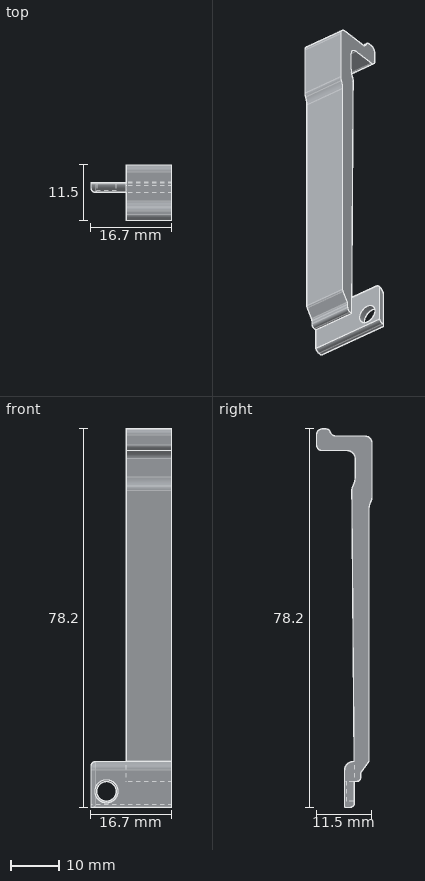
import cadquery as cq
import math

total_width = 16.7
total_height = 78.2

strip_width = 9.4
strip_left = total_width - strip_width
back_y = 3.75
hook_tip_y = -7.75
wall_front_y = 0.2
arm_top_z = 76.75
arm_bottom_z = 73.7
lip_flat_start = 1.25
lip_flat_end = 1.95
lip_convex_radius = 0.9
lip_concave_radius = 1.25
tip_radius = 1.2
outer_corner_radius = 1.5
inner_corner_radius = 1.65

front_jog = 0.7
back_jog = 0.6
jog_large_radius = 4.0
jog_small_radius = 1.95
front_jog_top_z = 68.3
back_jog_top_z = 64.15

strip_back_y = back_y - back_jog
taper_top_z = 9.55
taper_bottom_z = 7.2
tongue_back_y = 1.4
tongue_bottom_z = 5.4
tongue_radius = 0.8
strip_foot_z = 9.8

plate_front_y = -1.95
plate_back_y = 0.1
plate_height = 9.55
plate_top_radius = 1.8
plate_end_radius = 0.9
plate_back_rise = 0.6
plate_back_radius = 1.2
plate_bottom_radius = 0.2

hole_diameter = 4.0
hole_x = 3.2
hole_z = 3.4
hole_chamfer = 0.4


def double_bend(first_radius, second_radius, offset):
    """Tangent double arc: lengths along the travel direction and its turning angle."""
    angle = math.acos(1 - offset / (first_radius + second_radius))
    return first_radius * math.sin(angle), second_radius * math.sin(angle), angle


def add_vertical_bend(outline, y, z, jog, first_radius, second_radius, step):
    """Bend from (y, z): step = +1 goes up and shifts by +jog in Y, -1 goes down and shifts by -jog."""
    first_run, second_run, angle = double_bend(first_radius, second_radius, jog)
    first_mid = (
        y + step * first_radius * (1 - math.cos(angle / 2)),
        z + step * first_radius * math.sin(angle / 2),
    )
    joint = (y + step * first_radius * (1 - math.cos(angle)), z + step * first_run)
    end = (y + step * jog, joint[1] + step * second_run)
    second_mid = (
        end[0] - step * second_radius * (1 - math.cos(angle / 2)),
        end[1] - step * second_radius * math.sin(angle / 2),
    )
    return outline.threePointArc(first_mid, joint).threePointArc(second_mid, end)


def make_strip():
    lip_drop = total_height - arm_top_z
    convex_run, concave_run, angle = double_bend(lip_convex_radius, lip_concave_radius, lip_drop)
    lip_y = hook_tip_y + lip_flat_end
    lip_joint = (lip_y + convex_run, total_height - lip_convex_radius * (1 - math.cos(angle)))
    lip_end_y = lip_joint[0] + concave_run
    convex_mid = (
        lip_y + lip_convex_radius * math.sin(angle / 2),
        total_height - lip_convex_radius * (1 - math.cos(angle / 2)),
    )
    concave_mid = (
        lip_end_y - lip_concave_radius * math.sin(angle / 2),
        arm_top_z + lip_concave_radius * (1 - math.cos(angle / 2)),
    )
    front_runs = double_bend(jog_large_radius, jog_small_radius, front_jog)
    front_jog_bottom_z = front_jog_top_z - front_runs[0] - front_runs[1]

    outline = (
        cq.Workplane("YZ", origin=(strip_left, 0, 0))
        .moveTo(hook_tip_y, arm_bottom_z)
        .lineTo(hook_tip_y, total_height - lip_flat_start)
        .radiusArc((hook_tip_y + lip_flat_start, total_height), lip_flat_start)
        .lineTo(lip_y, total_height)
        .threePointArc(convex_mid, lip_joint)
        .threePointArc(concave_mid, (lip_end_y, arm_top_z))
        .lineTo(back_y, arm_top_z)
        .lineTo(back_y, back_jog_top_z)
    )
    outline = add_vertical_bend(
        outline, back_y, back_jog_top_z, back_jog, jog_small_radius, jog_large_radius, -1
    )
    outline = (
        outline.lineTo(strip_back_y, taper_top_z)
        .lineTo(tongue_back_y, taper_bottom_z)
        .lineTo(tongue_back_y, tongue_bottom_z)
        .lineTo(0, tongue_bottom_z)
        .lineTo(0, strip_foot_z)
        .lineTo(wall_front_y - front_jog, front_jog_bottom_z)
    )
    outline = add_vertical_bend(
        outline, wall_front_y - front_jog, front_jog_bottom_z, front_jog,
        jog_small_radius, jog_large_radius, 1,
    )
    strip = outline.lineTo(wall_front_y, arm_bottom_z).close().extrude(strip_width)

    corners = (
        (hook_tip_y, arm_bottom_z, tip_radius),
        (back_y, arm_top_z, outer_corner_radius),
        (wall_front_y, arm_bottom_z, inner_corner_radius),
        (strip_back_y, taper_top_z, tongue_radius),
        (tongue_back_y, taper_bottom_z, tongue_radius),
        (tongue_back_y, tongue_bottom_z, tongue_radius),
    )
    for y, z, radius in corners:
        nearest = cq.selectors.NearestToPointSelector((strip_left + strip_width / 2, y, z))
        strip = strip.edges("|X").edges(nearest).fillet(radius)
    return strip


def make_plate():
    back_round_width = math.sqrt(plate_back_radius**2 - (plate_back_radius - plate_back_rise) ** 2)
    plate = (
        cq.Workplane("YZ")
        .moveTo(plate_back_y, 0)
        .lineTo(plate_back_y, plate_height)
        .lineTo(plate_front_y + plate_top_radius, plate_height)
        .radiusArc((plate_front_y, plate_height - plate_top_radius), -plate_top_radius)
        .lineTo(plate_front_y, 0)
        .close()
        .extrude(total_width)
    )
    straight_edge = (0, plate_front_y, plate_height / 2)
    curved_edge = (0, plate_front_y, plate_height)
    plate = (
        plate.faces("<X")
        .edges(cq.selectors.NearestToPointSelector(straight_edge)
               + cq.selectors.NearestToPointSelector(curved_edge))
        .fillet(plate_end_radius)
    )
    bottom_envelope = (
        cq.Workplane("YZ")
        .moveTo(plate_back_y, plate_height)
        .lineTo(plate_front_y, plate_height)
        .lineTo(plate_front_y, plate_bottom_radius)
        .radiusArc((plate_front_y + plate_bottom_radius, 0), -plate_bottom_radius)
        .lineTo(plate_back_y - back_round_width, 0)
        .radiusArc((plate_back_y, plate_back_rise), -plate_back_radius)
        .close()
        .extrude(total_width)
    )
    return plate.intersect(bottom_envelope)


def make_hole():
    radius = hole_diameter / 2
    countersink_radius = radius + hole_chamfer
    return (
        cq.Workplane("XY", origin=(hole_x, 0, hole_z))
        .moveTo(0, plate_back_y)
        .lineTo(radius, plate_back_y)
        .lineTo(radius, plate_front_y + hole_chamfer)
        .lineTo(countersink_radius, plate_front_y)
        .lineTo(0, plate_front_y)
        .close()
        .revolve(360, (0, 0, 0), (0, 1, 0))
    )


result = make_strip().union(make_plate()).cut(make_hole())